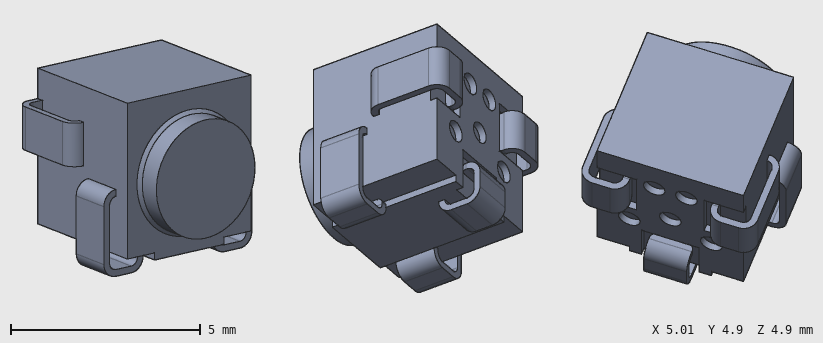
import cadquery as cq

body_length = 3.9
body_width = 4.1
body_height = 4.5
step_height = 0.2
half_width = body_width / 2

nose_length = 0.71
nose_radius = 1.635
nose_flare = 0.1
nose_z = 2.2

strip_thickness = 0.19
strip_width = 1.2
bend_radius = 0.4
short_leg = 1.305
long_leg = 2.4
tail_length = 0.2
tail_corner_radius = 0.16
side_terminal_z = 2.9
lower_terminal_x = 2.8

keel_width = body_width + 2 * (bend_radius - short_leg)

recess_depth = tail_length
side_recess_width = 1.1
side_recess_height = 1.51
bottom_recess_width = 1.61
bottom_recess_height = 1.2

hole_radius = 0.3
hole_depth = 0.2
upper_hole_y = 0.45
upper_hole_z = 3.495
lower_hole_y = 1.145
lower_hole_z = 1.6


def make_box(x_range, y_range, z_range):
    """Box spanning the given (low, high) range along each axis."""
    spans = (x_range, y_range, z_range)
    size = [high - low for low, high in spans]
    corner = tuple(low for low, high in spans)
    return cq.Workplane("XY").box(*size, centered=False).translate(corner)


def make_body():
    """Main block with a narrower keel along its underside."""
    block = make_box((0, body_length), (-half_width, half_width), (step_height, body_height))
    keel = make_box((0, body_length), (-keel_width / 2, keel_width / 2), (0, step_height))
    return block.union(keel)


def make_nose():
    """Solid round nose on the front face, flared where it meets the block."""
    return (
        cq.Workplane("XY")
        .lineTo(0, nose_radius + nose_flare)
        .lineTo(nose_flare, nose_radius)
        .lineTo(nose_length, nose_radius)
        .lineTo(nose_length, 0)
        .close()
        .revolve(360, (0, 0), (1, 0))
        .translate((body_length, 0, nose_z))
    )


def make_recesses():
    """Two recesses open to the sides and one open to the underside."""
    depth = (0, recess_depth)
    side_z = (side_terminal_z - side_recess_height / 2, side_terminal_z + side_recess_height / 2)
    side = make_box(depth, (-half_width, side_recess_width - half_width), side_z)
    bottom_y = (-bottom_recess_width / 2, bottom_recess_width / 2)
    bottom = make_box(depth, bottom_y, (0, bottom_recess_height))
    return side.union(side.mirror("XZ")).union(bottom)


def make_holes():
    """Five blind holes, with the middle one on the nose axis."""
    centers = [(0, nose_z)]
    for side in (-1, 1):
        centers.append((side * upper_hole_y, upper_hole_z))
        centers.append((side * lower_hole_y, lower_hole_z))
    return cq.Workplane("YZ").pushPoints(centers).circle(hole_radius).extrude(hole_depth)


def make_terminal(plane, length, width):
    """Strip bent round a housing edge.

    The plane's origin is the outer corner of the bent strip, and its normal runs along the
    strip width. The profile measures `length` along the plane's x and `width` along its y.
    One end meets the housing square on; the other carries a straight tail with both of its
    tip corners rounded.
    """

    def rounded_block(inset):
        return (
            cq.Workplane("XY")
            .box(length - 2 * inset, width - 2 * inset, strip_width, centered=(False, False, True))
            .edges("|Z")
            .fillet(bend_radius - inset)
            .translate((inset, inset, 0))
        )

    half_strip = strip_width / 2
    ring = rounded_block(0).cut(rounded_block(strip_thickness))
    housing_corner = make_box(
        (bend_radius, length), (bend_radius, width), (-half_strip, half_strip)
    )
    tail = (
        make_box(
            (bend_radius, bend_radius + tail_length),
            (width - strip_thickness, width),
            (-half_strip, half_strip),
        )
        .edges(">X and |Y")
        .fillet(tail_corner_radius)
    )
    hook = ring.cut(housing_corner).union(tail)
    return cq.Workplane(hook.val().moved(cq.Location(plane)))


outer_y = -half_width - bend_radius
side_plane = cq.Plane((-bend_radius, outer_y, side_terminal_z), xDir=(1, 0, 0), normal=(0, 0, 1))
lower_plane = cq.Plane((lower_terminal_x, outer_y, -bend_radius), xDir=(0, 0, 1), normal=(-1, 0, 0))
rear_plane = cq.Plane((-bend_radius, 0, -bend_radius), xDir=(1, 0, 0), normal=(0, -1, 0))

side_terminal = make_terminal(side_plane, long_leg, short_leg)
lower_terminal = make_terminal(lower_plane, long_leg, short_leg)
rear_terminal = make_terminal(rear_plane, short_leg, short_leg)

result = make_body().union(make_nose()).cut(make_recesses()).cut(make_holes())
for terminal in (side_terminal, lower_terminal):
    result = result.union(terminal).union(terminal.mirror("XZ"))
result = result.union(rear_terminal)